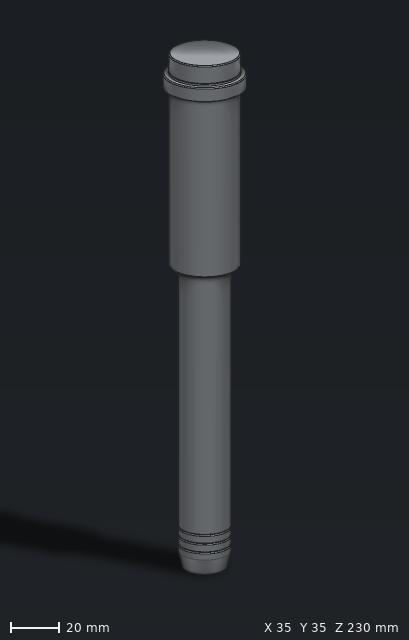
import cadquery as cq

total_length = 230.0

sleeve_diameter = 30.1
sleeve_length = 95.0
sleeve_top_chamfer = 0.5
sleeve_bottom_chamfer = 0.7

collar_diameter = 35.0
collar_thickness = 6.0
collar_setback = 9.0
collar_chamfer = 0.5

pin_diameter = 22.0
tip_diameter = 18.5
tip_taper_length = 7.4
tip_fillet = 0.7

groove_depth = 0.5

relief_width = 1.2

oil_groove_count = 3
oil_groove_width = 1.0
oil_groove_pitch = 4.0
lowest_oil_groove_height = 10.5

sleeve_bottom = total_length - sleeve_length
collar_top = total_length - collar_setback
collar_bottom = collar_top - collar_thickness


def cylinder(diameter, bottom, height):
    """Solid cylinder on the Z axis standing at the given height."""
    return cq.Workplane("XY").workplane(offset=bottom).circle(diameter / 2).extrude(height)


def v_groove(diameter, center_height, width):
    """Ring of triangular section that cuts a V-groove into a cylinder of the given diameter."""
    radius = diameter / 2
    section = [
        (radius, center_height - width / 2),
        (radius - groove_depth, center_height),
        (radius, center_height + width / 2),
    ]
    return cq.Workplane("XZ").polyline(section).close().revolve(360, (0, 0, 0), (0, 1, 0))


def make_pin():
    """Slim pin with a tapered, rounded tip and oil grooves above the taper."""
    tip = (
        cq.Workplane("XY")
        .circle(tip_diameter / 2)
        .workplane(offset=tip_taper_length)
        .circle(pin_diameter / 2)
        .loft(ruled=True)
        .faces("<Z")
        .edges()
        .fillet(tip_fillet)
    )
    pin = tip.union(cylinder(pin_diameter, tip_taper_length, sleeve_bottom - tip_taper_length))
    for index in range(oil_groove_count):
        groove_height = lowest_oil_groove_height + index * oil_groove_pitch
        pin = pin.cut(v_groove(pin_diameter, groove_height, oil_groove_width))
    return pin


def make_sleeve():
    """Thick upper body with chamfered ends and a relief groove on each side of the collar."""
    sleeve = cylinder(sleeve_diameter, sleeve_bottom, sleeve_length)
    sleeve = sleeve.faces("<Z").edges().chamfer(sleeve_bottom_chamfer)
    sleeve = sleeve.faces(">Z").edges().chamfer(sleeve_top_chamfer)
    for groove_height in (collar_top + relief_width / 2, collar_bottom - relief_width / 2):
        sleeve = sleeve.cut(v_groove(sleeve_diameter, groove_height, relief_width))
    return sleeve


def make_collar():
    """Collar around the sleeve, chamfered on its upper rim."""
    collar = cylinder(collar_diameter, collar_bottom, collar_thickness)
    return collar.faces(">Z").edges().chamfer(collar_chamfer)


result = make_pin().union(make_sleeve()).union(make_collar())